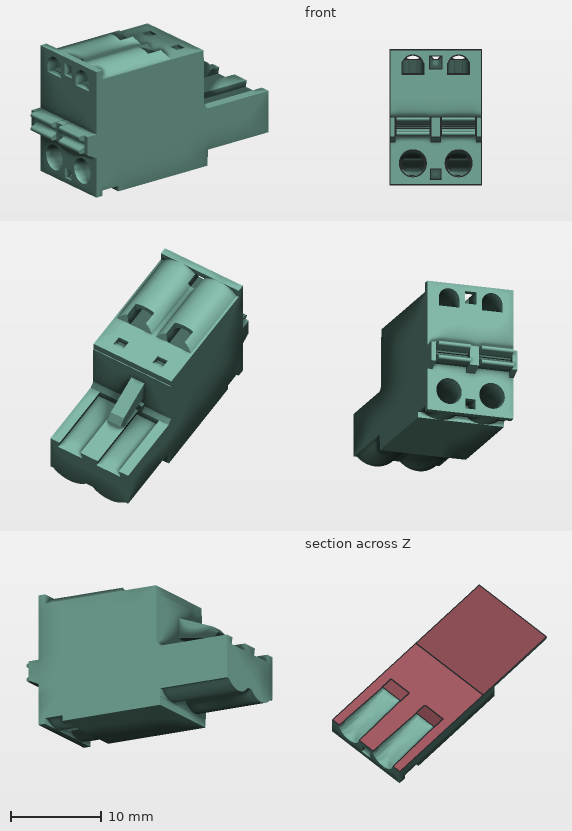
import cadquery as cq
import math


pitch = 5.08
pole_xs = [-pitch / 2, pitch / 2]
width = 2 * pitch
height = 15.0
overall_length = 26.05
button_tip_y = -1.9
plug_end_y = button_tip_y + overall_length

flange_depth = 0.85
block_height = 13.94
block_end_y = 15.03
foot_end_y = 15.58
barrel_radius = 3.0
barrel_end_y = 10.52
barrel_end_slant = 0.63

tunnel_width = 2.42
tunnel_floor_z = 12.27
tunnel_sill = 0.08
tunnel_roof_end_y = 8.28
tunnel_end_y = barrel_end_y
tunnel_corner_radius = 0.75
tunnel_axis_z = 13.18

upper_pocket_width = 1.35
upper_pocket_z = (12.85, 14.28)
lower_pocket_width = 1.2
lower_pocket_z = (0.6, 1.75)
pocket_depth = 2.42

block_belly_height = 0.65
block_belly_end_y = 3.1
plug_belly_height = 0.89

tab_reach = 1.25
tab_top_z = 7.55
tab_front_bottom_z = 5.35
tab_root_bottom_z = 4.75
centre_tab_width = 1.05
side_tab_width = 0.57

button_width = 3.78
button_bottom_z = 5.42
button_tip_radius = 0.25
button_lip_angle = 21
button_throat_y = -0.89
button_throat_height = 0.42
button_slit_height = 0.1
button_slit_mouth_y = -0.83
button_slit_end_y = -0.52

wire_z = 2.4
wire_hole_diameter = 3.0
funnel_flat_half_angle = 45
funnel_depth = 6.5
wire_slot_width = 2.65
wire_slot_height = 1.07
wire_slot_end_y = 8.34
spring_nose_radius = 0.4
spring_angle = 40

window_width = 1.3
window_y = (12.76, 13.88)
contact_high_z = 13.6
contact_low_z = 13.2
contact_slope_y = (13.0, 13.45)

plate_y = (13.75, 15.1)
plate_z = (1.02, 13.05)
plug_top_z = 6.85
shoulder_y = 15.63
groove_depth = 0.83
groove_lean = 0.195
side_ridge_width = 1.22
centre_ridge_width = 2.27
latch_x = (-1.62, 0.08)
latch_stop_top_z = 7.87
latch_top_z = 11.38
latch_top_end_y = 15.21
latch_arm_bottom = (15.53, 9.05)
latch_hook_points = [(19.45, 9.8), (20.14, 9.07), (19.2, 8.08), (18.65, 8.57)]


def box(x_range, y_range, z_range):
    """A block between the given limits along each axis."""
    size = [limits[1] - limits[0] for limits in (x_range, y_range, z_range)]
    corner = (x_range[0], y_range[0], z_range[0])
    return cq.Workplane("XY").box(*size, centered=False).translate(corner)


def span(x, span_width):
    """Limits of a width centred on x."""
    return (x - span_width / 2, x + span_width / 2)


def centred_box(x, box_width, y_range, z_range):
    """A block centred on x."""
    return box(span(x, box_width), y_range, z_range)


def y_cylinder(x, z, radius, y_range):
    """A cylinder along Y."""
    length = y_range[1] - y_range[0]
    return cq.Workplane("XZ", origin=(x, y_range[0], z)).circle(radius).extrude(-length)


def side_profile(points, x_range):
    """A (Y, Z) outline extruded along X."""
    length = x_range[1] - x_range[0]
    return cq.Workplane("YZ", origin=(x_range[0], 0, 0)).polyline(points).close().extrude(length)


full_width = span(0, width)


def make_barrel(x):
    """Part-round roof over one pole, with a slanted rear end."""
    roof = y_cylinder(x, height - barrel_radius, barrel_radius, (0, barrel_end_y))
    end_wedge = [
        (0, block_height),
        (barrel_end_y, block_height),
        (barrel_end_y - barrel_end_slant, height),
        (0, height),
    ]
    return roof.intersect(side_profile(end_wedge, span(x, 2 * barrel_radius)))


def make_tunnel(x):
    """Arched tunnel through the flange, opening upward into a pocket with round rear corners."""
    sill_z = tunnel_floor_z + tunnel_sill
    covered_y = (0, tunnel_roof_end_y)
    arch = y_cylinder(x, tunnel_axis_z, tunnel_width / 2, covered_y)
    arch = arch.intersect(centred_box(x, tunnel_width, covered_y, (tunnel_axis_z, height)))
    below_arch = centred_box(x, tunnel_width, covered_y, (sill_z, tunnel_axis_z))
    entry = centred_box(x, tunnel_width, (0, flange_depth), (tunnel_floor_z, tunnel_axis_z))
    pocket = centred_box(x, tunnel_width, (tunnel_roof_end_y, tunnel_end_y), (sill_z, height))
    pocket = pocket.edges("|Z and >Y").fillet(tunnel_corner_radius)
    return arch.union(below_arch).union(entry).union(pocket)


def make_wire_funnel(x):
    """Round mouth tapering to a flat round-ended slot."""
    mouth_radius = wire_hole_diameter / 2
    split_angle = math.radians(funnel_flat_half_angle)
    split_x = mouth_radius * math.sin(split_angle)
    split_z = mouth_radius * math.cos(split_angle)
    end_radius = wire_slot_height / 2
    straight_x = wire_slot_width / 2 - end_radius
    mouth = (
        cq.Workplane("XZ", origin=(x, 0, wire_z))
        .moveTo(-split_x, split_z)
        .threePointArc((0, mouth_radius), (split_x, split_z))
        .threePointArc((mouth_radius, 0), (split_x, -split_z))
        .threePointArc((0, -mouth_radius), (-split_x, -split_z))
        .threePointArc((-mouth_radius, 0), (-split_x, split_z))
        .close()
    )
    slot = (
        mouth.workplane(offset=-funnel_depth)
        .moveTo(-straight_x, end_radius)
        .lineTo(straight_x, end_radius)
        .threePointArc((wire_slot_width / 2, 0), (straight_x, -end_radius))
        .lineTo(-straight_x, -end_radius)
        .threePointArc((-wire_slot_width / 2, 0), (-straight_x, end_radius))
        .close()
    )
    return slot.loft(ruled=True)


def make_wire_slot(x):
    """Flat round-ended chamber behind the funnel."""
    plane = cq.Workplane("XZ", origin=(x, funnel_depth, wire_z))
    chamber = plane.slot2D(wire_slot_width, wire_slot_height)
    return chamber.extrude(funnel_depth - wire_slot_end_y)


def make_test_window(x):
    """Test opening that reaches down to the top of the plug plate."""
    return centred_box(x, window_width, window_y, (plate_z[1], block_height))


def make_belly_relief(x, bottom_z, belly_height, y_range):
    """Material to remove under one pole so that its bottom bulges like the barrel on top."""
    blank = centred_box(x, pitch, y_range, (bottom_z, bottom_z + belly_height))
    return blank.cut(y_cylinder(x, bottom_z + barrel_radius, barrel_radius, y_range))


def make_tab(x_range):
    """Guide tab with a sloped underside."""
    profile = [
        (0, tab_top_z),
        (-tab_reach, tab_top_z),
        (-tab_reach, tab_front_bottom_z),
        (0, tab_root_bottom_z),
    ]
    return side_profile(profile, x_range)


def make_housing():
    """Terminal housing with its openings and the recess for the plug plate."""
    block = box(full_width, (0, block_end_y), (0, block_height))
    foot = box(full_width, (0, foot_end_y), (0, plate_z[0]))
    flange = box(full_width, (0, flange_depth), (0, height))
    body = block.union(foot).union(flange)

    side_tab_x = (width - side_tab_width) / 2
    tab_ranges = [
        span(-side_tab_x, side_tab_width),
        span(0, centre_tab_width),
        span(side_tab_x, side_tab_width),
    ]
    for tab_range in tab_ranges:
        body = body.union(make_tab(tab_range))
    for x in pole_xs:
        body = body.union(make_barrel(x))
    for x in pole_xs:
        body = body.cut(make_tunnel(x))
        body = body.cut(make_wire_funnel(x))
        body = body.cut(make_wire_slot(x))
        body = body.cut(make_test_window(x))
        belly_y = (flange_depth, block_belly_end_y)
        body = body.cut(make_belly_relief(x, 0, block_belly_height, belly_y))

    pocket_y = (0, pocket_depth)
    body = body.cut(centred_box(0, upper_pocket_width, pocket_y, upper_pocket_z))
    body = body.cut(centred_box(0, lower_pocket_width, pocket_y, lower_pocket_z))
    return body.cut(box(full_width, (plate_y[0], foot_end_y), plate_z))


def make_groove(side):
    """Undercut groove along the plug top on one side of the centre ridge."""
    outer_x = width / 2 - side_ridge_width
    inner_x = centre_ridge_width / 2
    floor_z = plug_top_z - groove_depth
    profile = [
        (side * inner_x, plug_top_z),
        (side * outer_x, plug_top_z),
        (side * (outer_x + groove_lean), floor_z),
        (side * (inner_x - groove_lean), floor_z),
    ]
    plane = cq.Workplane("XZ", origin=(0, shoulder_y, 0))
    return plane.polyline(profile).close().extrude(shoulder_y - plug_end_y)


def make_latch():
    """Hooked latch arm above the plug."""
    profile = [
        (plate_y[1], latch_top_z),
        (latch_top_end_y, latch_top_z),
        *latch_hook_points,
        latch_arm_bottom,
        (plate_y[1], latch_arm_bottom[1]),
    ]
    return side_profile(profile, latch_x)


def make_plug():
    """Plug with its flat plate, grooved nose, latch and latch stop."""
    plate_back_y = plate_y[1]
    shoulder_rise = shoulder_y - plate_back_y
    profile = [
        (plate_y[0], plate_z[0]),
        (plug_end_y, plate_z[0]),
        (plug_end_y, plug_top_z),
        (shoulder_y, plug_top_z),
        (plate_back_y, plug_top_z + shoulder_rise),
        (plate_back_y, plate_z[1]),
        (plate_y[0], plate_z[1]),
    ]
    body = side_profile(profile, full_width)
    for side in (-1, 1):
        body = body.cut(make_groove(side))
    for x in pole_xs:
        belly_y = (shoulder_y, plug_end_y)
        body = body.cut(make_belly_relief(x, plate_z[0], plug_belly_height, belly_y))
    latch_stop = box(latch_x, (plate_back_y, shoulder_y), (plug_top_z, latch_stop_top_z))
    return body.union(latch_stop).union(make_latch())


def make_button(x):
    """Release button: two round-tipped lips around a tapering mouth that ends in a slit."""
    angle = math.radians(button_lip_angle)
    middle_z = (tab_top_z + button_bottom_z) / 2
    tip_y = button_tip_y + button_tip_radius
    lower_tip_z = button_bottom_z + button_tip_radius
    upper_tip_z = tab_top_z - button_tip_radius
    inner_y = tip_y - button_tip_radius * math.sin(angle)
    inner_rise = button_tip_radius * math.cos(angle)
    throat = button_throat_height / 2
    slit = button_slit_height / 2
    outline = (
        cq.Workplane("YZ", origin=(x - button_width / 2, 0, 0))
        .moveTo(0, button_bottom_z)
        .lineTo(tip_y, button_bottom_z)
        .threePointArc((button_tip_y, lower_tip_z), (inner_y, lower_tip_z + inner_rise))
        .lineTo(button_throat_y, middle_z - throat)
        .lineTo(button_slit_mouth_y, middle_z - slit)
        .lineTo(button_slit_end_y, middle_z - slit)
        .lineTo(button_slit_end_y, middle_z + slit)
        .lineTo(button_slit_mouth_y, middle_z + slit)
        .lineTo(button_throat_y, middle_z + throat)
        .lineTo(inner_y, upper_tip_z - inner_rise)
        .threePointArc((button_tip_y, upper_tip_z), (tip_y, tab_top_z))
        .lineTo(0, tab_top_z)
        .close()
    )
    return outline.extrude(button_width)


def make_spring(x):
    """Clamping spring that closes the wire chamber: a round nose above a sloped underside."""
    top_z = wire_z + wire_slot_height / 2
    bottom_z = wire_z - wire_slot_height / 2
    centre_y = funnel_depth + spring_nose_radius

    def nose_point(degrees_down):
        angle = math.radians(degrees_down)
        y = centre_y - spring_nose_radius * math.cos(angle)
        return (y, top_z - spring_nose_radius * math.sin(angle))

    nose_sweep = 90 - spring_angle
    nose_y, nose_z = nose_point(nose_sweep)
    foot_y = nose_y + (nose_z - bottom_z) / math.tan(math.radians(spring_angle))
    outline = (
        cq.Workplane("YZ", origin=(x - wire_slot_width / 2, 0, 0))
        .moveTo(funnel_depth, top_z)
        .threePointArc(nose_point(nose_sweep / 2), (nose_y, nose_z))
        .lineTo(foot_y, bottom_z)
        .lineTo(wire_slot_end_y, bottom_z)
        .lineTo(wire_slot_end_y, top_z)
        .close()
    )
    return outline.extrude(wire_slot_width).intersect(make_wire_slot(x))


def make_contact(x):
    """Contact bar filling the bottom of a test window, stepped down by a slope."""
    profile = [
        (window_y[0], plate_z[1]),
        (window_y[1], plate_z[1]),
        (window_y[1], contact_high_z),
        (contact_slope_y[1], contact_high_z),
        (contact_slope_y[0], contact_low_z),
        (window_y[0], contact_low_z),
    ]
    return side_profile(profile, span(x, window_width))


housing = make_housing()
plug = make_plug()
buttons = [make_button(x) for x in pole_xs]
springs = [make_spring(x) for x in pole_xs]
contacts = [make_contact(x) for x in pole_xs]

bodies = [housing, plug, *buttons, *springs, *contacts]
result = cq.Compound.makeCompound([body.solids().val() for body in bodies])